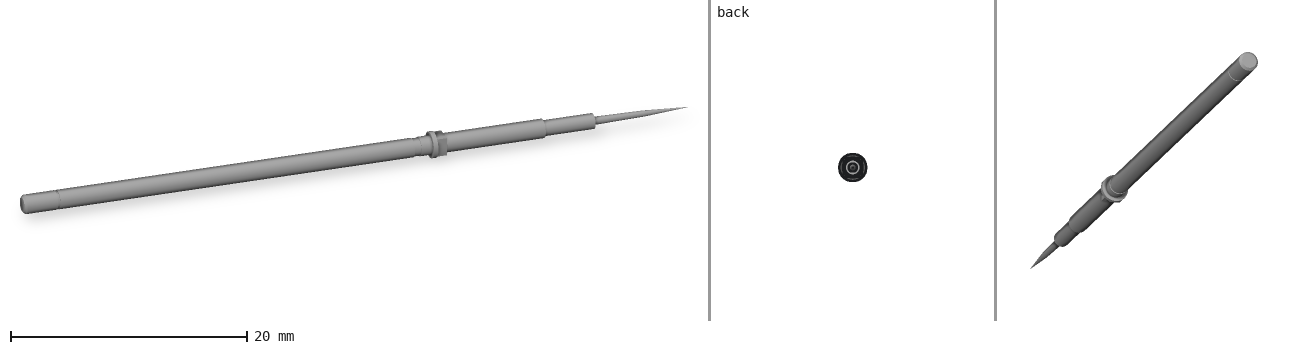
import cadquery as cq


overall_length = 59.5
tip_end = 22.7
needle_start = 14.2
point_start = 18.7
sleeve_start = 9.7
blunt_end = tip_end - overall_length
cap_length = 2.95

tip_diameter = 0.03
point_diameter = 0.53
needle_diameter = 0.7
sleeve_diameter = 1.36
barrel_diameter = 1.67
collar_diameter = 2.3

collar_width = 0.4
block_length = 0.9
block_width = 1.6

groove_depth = 0.06
ring_groove_offset = 1.58
ring_groove_width = 0.6
cap_groove_width = 0.2
end_chamfer = 0.2


def revolved(profile):
    """Solid of revolution about Y from (station, diameter) pairs, closed along the axis."""
    outline = [(profile[0][0], 0)]
    outline += [(station, diameter / 2) for station, diameter in profile]
    outline += [(profile[-1][0], 0)]
    return cq.Workplane("YZ").polyline(outline).close().revolve(360, (0, 0, 0), (1, 0, 0))


def rod(start, end, diameter):
    """Plain cylinder on the Y axis between two stations."""
    return revolved([(start, diameter), (end, diameter)])


def groove(start, width):
    """Ring of material to remove from the barrel, running from a station towards +Y."""
    outer = rod(start, start + width, collar_diameter)
    return outer.cut(rod(start, start + width, barrel_diameter - 2 * groove_depth))


def make_barrel():
    """Barrel with a chamfered blunt end, a ring groove and a groove above the end cap."""
    barrel = rod(blunt_end, sleeve_start, barrel_diameter)
    barrel = barrel.faces("<Y").chamfer(end_chamfer)
    barrel = barrel.cut(groove(-collar_width - ring_groove_offset, ring_groove_width))
    return barrel.cut(groove(blunt_end + cap_length, cap_groove_width))


def make_collar():
    """Round collar."""
    return rod(-collar_width, 0, collar_diameter)


def make_block():
    """Square block on the needle side of the collar, replacing the round barrel there."""
    block = cq.Workplane("XY").box(block_width, block_length, block_width)
    return block.translate((0, block_length / 2, 0))


def make_needle():
    """Sleeve followed by a slightly tapered needle and its sharper point."""
    sleeve = rod(sleeve_start, needle_start, sleeve_diameter)
    needle = revolved([
        (needle_start, needle_diameter),
        (point_start, point_diameter),
        (tip_end, tip_diameter),
    ])
    return sleeve.union(needle)


barrel = make_barrel().cut(rod(0, block_length, collar_diameter))
result = barrel.union(make_block()).union(make_collar()).union(make_needle())